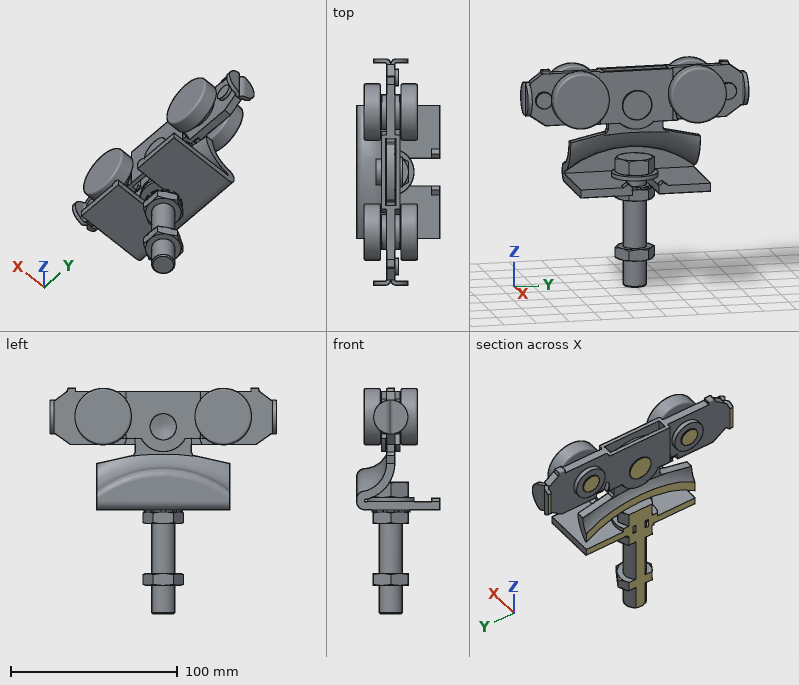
import cadquery as cq
import math


plate_t = 5.0
side_t = plate_t / 2

body_length = 136.0
body_top = 133.6
body_bottom = 101.6
body_mid_z = (body_top + body_bottom) / 2
top_half_length = 57.8
bottom_half_length = 55.6
flange_d = 20.5
flange_z = 118.2
bend_inner_r = 0.8
bend_outer_r = bend_inner_r + side_t
neck_half_length = body_length / 2 - bend_outer_r
end_top = flange_z + flange_d / 2
end_bottom = flange_z - flange_d / 2

box_half_width = 5.6
box_half_length = 22.3
box_bend_r = 0.7
pocket_half_width = box_half_width - side_t
pocket_half_length = box_half_length - 2.3
flare_top = 110.9
flare_run = 3.3
lobe_r = 15.0
relief_half_length = 29.8
relief_top = 105.4

tab_inner_y = 52.6
tab_height = 1.9
tab_slope = 0.7
tab_right_x = 2.2
tab_bend_r = 0.8
rivet_y = 56.7
rivet_d = 10.0
rivet_height = 2.2

pivot_z = 112.4
pin_d = 15.8
pin_end_x = -9.0
dimple_depth = 1.6
pin_head_d = 18.0
pin_head_t = 1.5

wheel_d = 34.0
wheel_y = 36.0
wheel_z = 118.5
wheel_inner_x = 6.1
wheel_outer_x = 16.0
wheel_edge_r = 1.2
collar_d = 21.0
collar_outer_x = 5.5
hub_d = 12.0

hanger_length = 80.0
base_bottom = 62.5
base_top = base_bottom + plate_t
base_left = -20.5
base_right = 29.5
fold_x = base_left + plate_t
neck_half_width = 16.9
neck_top = 129.2
neck_top_r = 31.3
crest_mid_z = 87.3
crest_end_z = 73.7
sweep_mid_z = 95.9
sweep_end_z = 90.3
sweep_mid_r = 15.0
sweep_end_r = 17.4
blank_top = 98.0
shoulder_z = 95.2
shoulder_half_length = 18.0
neck_corner_z = 97.1
station_count = 9

slot_width = 16.5
ridge_length = 5.0
ridge_height = 2.0
ridge_peak_y = 10.7
ridge_far_y = 13.9

rod_d = 14.0
rod_chamfer = 0.8
hex_flats = 21.2
hex_corner_chamfer = 0.7
head_washer_d = 28.0
head_washer_t = 2.5
head_height = 9.3
lock_washer_d = 23.0
lock_washer_t = 1.2
lock_washer_root_d = 19.9
lock_washer_teeth = 10
lock_washer_gap = 2.7
nut_height = 7.1
lower_nut_bottom = 17.1


def cylinder_x(diameter, x_start, x_end, y, z):
    """Cylinder along X between two x positions."""
    return (cq.Workplane("YZ", origin=(x_start, y, z))
            .circle(diameter / 2).extrude(x_end - x_start))


def cylinder_z(diameter, z_start, z_end):
    """Cylinder around the rod axis."""
    return cq.Workplane("XY", origin=(0, 0, z_start)).circle(diameter / 2).extrude(z_end - z_start)


def plate_quarter():
    """+X, +Y quarter of the folded side plates, without the side outline."""
    end_y = body_length / 2
    r = bend_outer_r
    mid = math.sqrt(0.5)
    bend_x = side_t + bend_inner_r
    bend_y = neck_half_length
    return (
        cq.Workplane("XY", origin=(0, 0, body_bottom - lobe_r))
        .moveTo(0, pocket_half_length)
        .lineTo(0, bend_y)
        .threePointArc((r - r * mid, bend_y + r * mid), (r, end_y))
        .lineTo(flange_d / 2, end_y)
        .lineTo(flange_d / 2, end_y - side_t)
        .lineTo(bend_x, end_y - side_t)
        .threePointArc((bend_x - bend_inner_r * mid, bend_y + bend_inner_r * mid), (side_t, bend_y))
        .lineTo(side_t, box_half_length + box_bend_r)
        .threePointArc((side_t + box_bend_r * (1 - mid), box_half_length + box_bend_r * (1 - mid)),
                       (side_t + box_bend_r, box_half_length))
        .lineTo(box_half_width - box_bend_r, box_half_length)
        .threePointArc((box_half_width - box_bend_r * (1 - mid), box_half_length - box_bend_r * (1 - mid)),
                       (box_half_width, box_half_length - box_bend_r))
        .lineTo(box_half_width, 0)
        .lineTo(pocket_half_width, 0)
        .lineTo(pocket_half_width, pocket_half_length)
        .close()
        .extrude(body_top - body_bottom + lobe_r)
    )


def side_outline():
    """Envelope that gives the folded plates their side outline."""
    half = [
        (top_half_length, body_top),
        (neck_half_length, end_top),
        (neck_half_length, end_bottom),
        (bottom_half_length, body_bottom),
    ]
    mirrored = [(-y, z) for y, z in reversed(half)]
    envelope = (cq.Workplane("YZ").polyline(half + mirrored).close()
                .extrude(flange_d / 2, both=True))
    envelope = envelope.union(cylinder_x(2 * lobe_r, -box_half_width, box_half_width, 0, pivot_z))
    flanges = (cq.Workplane("XZ", origin=(0, 0, flange_z))
               .circle(flange_d / 2).extrude(body_length / 2, both=True))
    middle = cq.Workplane("XY").box(flange_d, 2 * neck_half_length, flange_d).translate((0, 0, flange_z))
    return envelope.union(flanges.cut(middle))


def box_end_flare(side, start_y, half_width):
    """Wedge by which the box, or its pocket, widens towards the lower edge at one end."""
    outline = [
        (side * start_y, flare_top),
        (side * (start_y + flare_run), body_bottom),
        (side * start_y, body_bottom),
    ]
    return cq.Workplane("YZ").polyline(outline).close().extrude(half_width, both=True)


def trolley_body():
    right = plate_quarter()
    right = right.union(right.mirror("XZ"))
    body = right.union(right.mirror("YZ")).intersect(side_outline())
    for side in (1, -1):
        body = body.union(box_end_flare(side, box_half_length, box_half_width))
    for side in (1, -1):
        body = body.cut(box_end_flare(side, pocket_half_length, pocket_half_width))
    relief = (cq.Workplane("XY")
              .box(box_half_width, 2 * relief_half_length, relief_top - body_bottom,
                   centered=(False, True, False))
              .translate((-box_half_width, 0, body_bottom)))
    relief = relief.cut(cylinder_x(2 * lobe_r, -box_half_width, 0, 0, pivot_z))
    return body.cut(relief)


def locating_tab():
    """Folded tab on the top edge at the +Y end, rounded on its -X side."""
    outline = [
        (tab_inner_y, body_top - tab_height),
        (tab_inner_y, body_top + tab_height),
        (top_half_length - tab_slope, body_top + tab_height),
        (top_half_length, body_top),
        (top_half_length, body_top - tab_height),
    ]
    tab = (cq.Workplane("YZ", origin=(-side_t, 0, 0)).polyline(outline).close()
           .extrude(side_t + tab_right_x))
    return tab.faces(">Z").edges("<X").fillet(tab_bend_r)


def rivet():
    """Rivet head on the +X face at the +Y end."""
    return cylinder_x(rivet_d, 0, side_t + rivet_height, rivet_y, body_mid_z)


def wheel_set():
    """+X wheel at the +Y end with its collar and hub."""
    wheel = cylinder_x(wheel_d, wheel_inner_x, wheel_outer_x, wheel_y, wheel_z).edges().fillet(wheel_edge_r)
    collar = cylinder_x(collar_d, side_t / 2, collar_outer_x, wheel_y, wheel_z)
    hub = cylinder_x(hub_d, 0, wheel_inner_x + wheel_edge_r, wheel_y, wheel_z)
    return wheel.union(collar).union(hub)


def pivot_pin():
    """Pin through both side plates and the hanger neck, dimpled at -X, headed at +X."""
    pin = cylinder_x(pin_d, pin_end_x, box_half_width, 0, pivot_z)
    head = cylinder_x(pin_head_d, box_half_width, box_half_width + pin_head_t, 0, pivot_z)
    dimple = cq.Workplane(cq.Solid.makeCone(
        pin_d / 2, 0, dimple_depth, pnt=cq.Vector(pin_end_x, 0, pivot_z), dir=cq.Vector(1, 0, 0)))
    return pin.union(head).cut(dimple)


def bulge_section(y):
    """Section of the pressed hanger wall at a given y."""
    half = hanger_length / 2
    sag = crest_mid_z - crest_end_z
    crest_r = (half ** 2 + sag ** 2) / (2 * sag)
    drop = crest_r - math.sqrt(crest_r ** 2 - y ** 2)
    fraction = drop / sag
    crest_z = crest_mid_z - drop
    wall_z = crest_z - plate_t
    sweep_z = sweep_mid_z + (sweep_end_z - sweep_mid_z) * fraction
    upper_r = sweep_mid_r + (sweep_end_r - sweep_mid_r) * fraction
    lower_r = upper_r + plate_t

    upper_x = -plate_t / 2
    middle_x = (upper_x + fold_x) / 2
    run = upper_x - fold_x
    rise = sweep_z - crest_z
    chord = math.hypot(run, rise)
    height = math.sqrt(upper_r ** 2 - chord ** 2 / 4)
    centre_x = middle_x - height * rise / chord
    centre_z = (sweep_z + crest_z) / 2 + height * run / chord

    def sweep_point(radius, x):
        return (x, centre_z - math.sqrt(radius ** 2 - (x - centre_x) ** 2))

    bend = plate_t * math.sqrt(0.5)
    return (
        cq.Workplane("XZ", origin=(0, y, 0))
        .moveTo(base_left, base_top)
        .lineTo(base_left, wall_z)
        .threePointArc((fold_x - bend, wall_z + bend), (fold_x, crest_z))
        .threePointArc(sweep_point(upper_r, middle_x), (upper_x, sweep_z))
        .lineTo(upper_x, blank_top)
        .lineTo(-upper_x, blank_top)
        .lineTo(*sweep_point(lower_r, -upper_x))
        .threePointArc(sweep_point(lower_r, middle_x), sweep_point(lower_r, fold_x))
        .lineTo(fold_x, base_top)
        .close()
        .val()
    )


def hanger_wall():
    """Pressed wall, from the fold up to the sloping shoulders and the neck."""
    half = hanger_length / 2
    step = hanger_length / (station_count - 1)
    sections = [bulge_section(-half + i * step) for i in range(station_count)]
    wall = cq.Workplane(cq.Solid.makeLoft(sections))
    outline = (
        cq.Workplane("YZ", origin=(base_left, 0, 0))
        .moveTo(-half, base_bottom)
        .lineTo(-half, sweep_end_z)
        .lineTo(-shoulder_half_length, shoulder_z)
        .lineTo(-neck_half_width, neck_corner_z)
        .lineTo(-neck_half_width, blank_top)
        .lineTo(neck_half_width, blank_top)
        .lineTo(neck_half_width, neck_corner_z)
        .lineTo(shoulder_half_length, shoulder_z)
        .lineTo(half, sweep_end_z)
        .lineTo(half, base_bottom)
        .close()
        .extrude(base_right - base_left)
    )
    return wall.intersect(outline).union(hanger_neck())


def hanger_neck():
    """Flat upright tongue with an arched top, carried by the pivot pin."""
    arch = neck_top_r - math.sqrt(neck_top_r ** 2 - neck_half_width ** 2)
    return (
        cq.Workplane("YZ")
        .moveTo(-neck_half_width, blank_top)
        .lineTo(-neck_half_width, neck_top - arch)
        .threePointArc((0, neck_top), (neck_half_width, neck_top - arch))
        .lineTo(neck_half_width, blank_top)
        .close()
        .extrude(plate_t / 2, both=True)
    )


def hanger_base():
    """Flat foot with a rounded fold at -X, a rod slot open to +X and two ridges."""
    bend = plate_t * math.sqrt(0.5)
    half = hanger_length / 2
    base = (
        cq.Workplane("XZ", origin=(0, half, 0))
        .moveTo(base_left, base_top)
        .threePointArc((fold_x - bend, base_top - bend), (fold_x, base_bottom))
        .lineTo(base_right, base_bottom)
        .lineTo(base_right, base_top)
        .close()
        .extrude(hanger_length)
    )
    slot = (cq.Workplane("XY").box(base_right, slot_width, base_top, centered=(False, True, False))
            .union(cylinder_z(slot_width, 0, base_top)))
    ridge = (
        cq.Workplane("YZ", origin=(base_right - ridge_length, 0, base_top))
        .polyline([(slot_width / 2, 0), (ridge_peak_y, ridge_height), (ridge_far_y, 0)])
        .close()
        .extrude(ridge_length)
    )
    return base.cut(slot).union(ridge).union(ridge.mirror("XZ"))


def hexagon(z_bottom, height):
    """Hexagon with corners along Y, its corners chamfered by a cone at both ends."""
    corner_d = hex_flats / math.cos(math.pi / 6)
    prism = (cq.Workplane("XY", origin=(0, 0, z_bottom)).polygon(6, corner_d).extrude(height)
             .rotate((0, 0, 0), (0, 0, 1), 90))
    envelope = (cylinder_z(corner_d, z_bottom, z_bottom + height)
                .edges().chamfer(hex_corner_chamfer, (corner_d - hex_flats) / 2))
    return prism.intersect(envelope)


def lock_washer(z_bottom):
    """Lock washer with teeth around its rim."""
    tooth_depth = (lock_washer_d - lock_washer_root_d) / 2
    rim_r = (lock_washer_d + lock_washer_root_d) / 4
    gaps = (cq.Workplane("XY", origin=(0, 0, z_bottom))
            .polarArray(rim_r, 0, 360, lock_washer_teeth)
            .rect(2 * tooth_depth, lock_washer_gap).extrude(lock_washer_t))
    root = cylinder_z(lock_washer_root_d, z_bottom, z_bottom + lock_washer_t)
    return cylinder_z(lock_washer_d, z_bottom, z_bottom + lock_washer_t).cut(gaps).union(root)


def rod_assembly():
    head_bottom = base_top + head_washer_t
    nut_top = base_bottom - lock_washer_t
    rod = cylinder_z(rod_d, 0, head_bottom).faces("<Z").chamfer(rod_chamfer)
    return (
        rod
        .union(cylinder_z(head_washer_d, base_top, head_bottom))
        .union(hexagon(head_bottom, head_height))
        .union(lock_washer(nut_top))
        .union(hexagon(nut_top - nut_height, nut_height))
        .union(hexagon(lower_nut_bottom, nut_height))
    )


result = trolley_body().union(pivot_pin())
for end_feature in (locating_tab(), rivet()):
    result = result.union(end_feature).union(end_feature.mirror("XZ"))

right_wheel = wheel_set()
for wheel in (right_wheel, right_wheel.mirror("YZ")):
    result = result.union(wheel).union(wheel.mirror("XZ"))

for hanger_feature in (hanger_wall(), hanger_base(), rod_assembly()):
    result = result.union(hanger_feature)